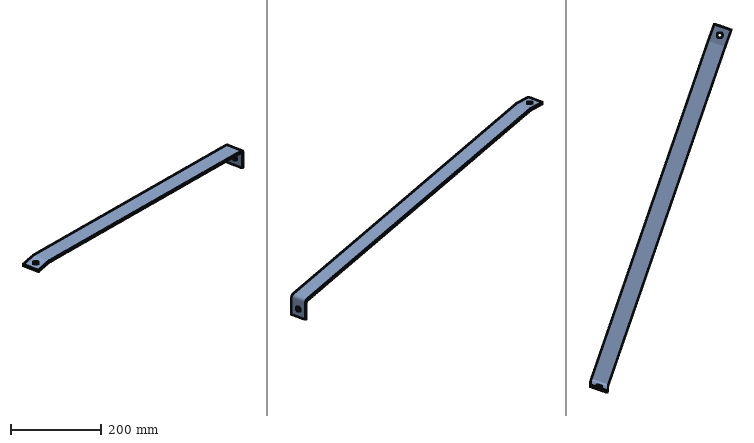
import cadquery as cq
import math

width = 40.0
length = 820.0
height = 221.0
thickness = 5.0

inner_radius = 5.0
outer_radius = inner_radius + thickness
leg_corner_height = 47.5
tab_corner_length = 41.0

hole_diameter = 12.0
hole_from_end = 20.0

back = length / 2
front = -length / 2
tab_corner_y = front + tab_corner_length

slope = math.atan2(height - leg_corner_height, back - tab_corner_y)
leg_mitre = thickness * math.tan((math.pi / 2 - slope) / 2)
tab_mitre = thickness * math.tan(slope / 2)

outer_tab_corner = (tab_corner_y, height)
outer_leg_corner = (back, leg_corner_height)
inner_tab_corner = (tab_corner_y - tab_mitre, height - thickness)
inner_leg_corner = (back - thickness, leg_corner_height - leg_mitre)


def make_bar():
    """Extrude the sharp-cornered side profile across the width."""
    profile = [
        (front, height),
        outer_tab_corner,
        outer_leg_corner,
        (back, 0),
        (back - thickness, 0),
        inner_leg_corner,
        inner_tab_corner,
        (front, height - thickness),
    ]
    return cq.Workplane("YZ").polyline(profile).close().extrude(width / 2, both=True)


def round_corner(bar, corner, radius):
    """Round the edge that runs along X through a profile corner."""
    y, z = corner
    return bar.edges(cq.NearestToPointSelector((0, y, z))).fillet(radius)


def make_hole(plane, centre):
    """Make a cutter long enough to pass through a tab to both sides of its centre."""
    return cq.Workplane(plane, origin=centre).circle(hole_diameter / 2).extrude(thickness, both=True)


result = make_bar()
for bend_corner in (outer_tab_corner, outer_leg_corner):
    result = round_corner(result, bend_corner, outer_radius)
for bend_corner in (inner_tab_corner, inner_leg_corner):
    result = round_corner(result, bend_corner, inner_radius)

result = result.cut(make_hole("XY", (0, front + hole_from_end, height - thickness / 2)))
result = result.cut(make_hole("XZ", (0, back - thickness / 2, hole_from_end)))